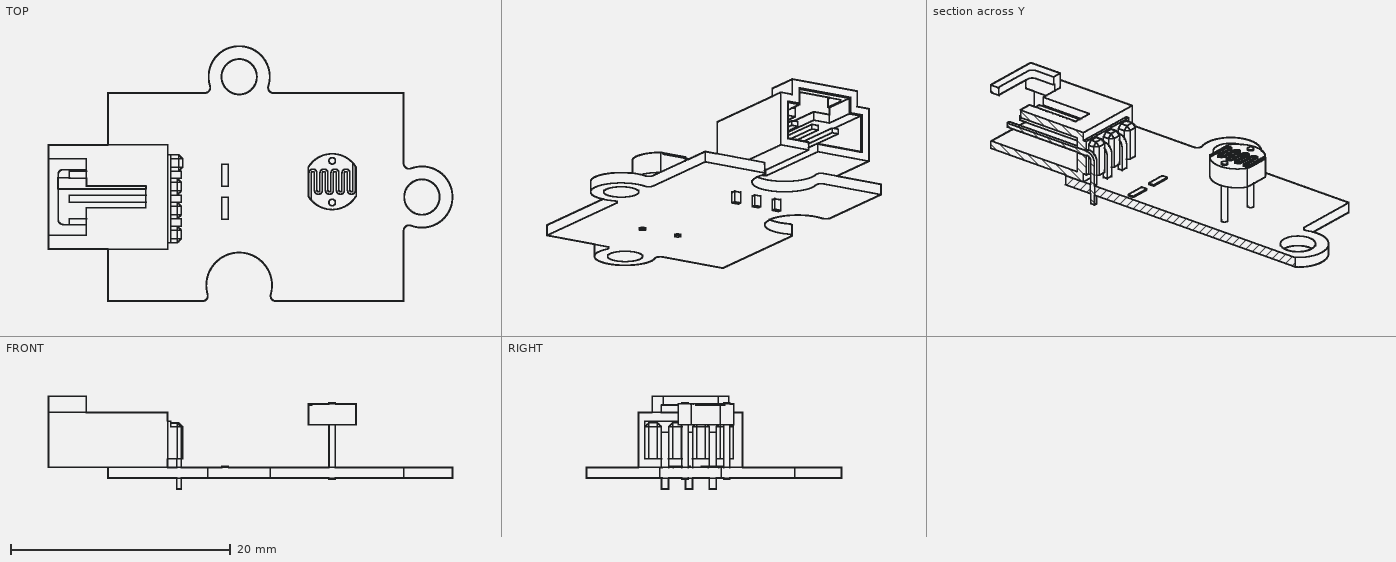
import cadquery as cq
import math


board_length = 27.0
board_width = 19.0
board_thickness = 1.0
ear_radius = 2.8
ear_hole_diameter = 3.2
right_ear_offset = 1.65
back_ear_offset = 1.48
notch_radius = 3.0
notch_offset = 1.45
root_radius = 0.48
mid_x = 12.0

pad_length = 2.0
pad_width = 0.6
pad_height = 0.1
pad_x = 10.7
pad_pitch = 3.0
pad_mid_y = 0.48

housing_front_x = -5.42
housing_length = 10.9
housing_width = 9.52
housing_height = 5.0
housing_back_x = housing_front_x + housing_length
hood_length = 3.47
hood_width = 7.0
hood_top = 6.5
cavity_width = 7.82
cavity_floor = 0.8
cavity_ceiling = 4.2
back_wall = 0.77
slot_depth = 8.9
channel_width = 5.35
channel_ceiling = 5.7
mouth_chamfer = 0.092
window_width = 5.0
window_front_wall = 0.9
window_corner_radius = 0.48
roof_slot_width = 2.0
floor_slot_width = 1.0
floor_slot_y = 1.25

pin_count = 3
pin_pitch = 2.18
pin_mid_y = -0.15
pin_width = 0.65
pin_thickness = 0.45
pin_axis_z = 3.0
pin_tip_x = -3.5
pin_leg_x = 6.5
pin_bottom = -2.0
bend_radius = 0.9

plate_thickness = 0.3
plate_top = 4.2
block_bottom = 0.77
block_top = 4.05
block_end_x = 6.7
end_block_extra = 0.1
block_chamfer = 0.37
block_width = pin_pitch - pin_width
block_row_width = pin_count * pin_pitch + block_width

sensor_x = 20.48
sensor_y = 1.4
sensor_diameter = 5.1
sensor_flat_width = 4.35
sensor_bottom = 3.87
sensor_top = 5.8
leg_diameter = 0.6
leg_spacing = 3.8
leg_protrusion = 0.1
track_width = 0.22
track_depth = 0.1
track_length = 2.3
track_lines = 9
rim_wall = 0.055
track_pitch = (sensor_flat_width - 2 * rim_wall - track_width) / (track_lines - 1)


def block(x_range, y_range, z_range):
    """Box between the given limits on each axis."""
    size = [high - low for low, high in (x_range, y_range, z_range)]
    corner = (x_range[0], y_range[0], z_range[0])
    return cq.Workplane("XY").box(*size, centered=False).translate(corner)


def centred(middle, width):
    """Limits of a span of the given width about its middle."""
    return (middle - width / 2, middle + width / 2)


def disc(x, y, radius, bottom, top):
    """Upright cylinder."""
    return cq.Workplane("XY", origin=(x, y, bottom)).circle(radius).extrude(top - bottom)


def make_board():
    half_width = board_width / 2
    levels = (-board_thickness, 0)
    ears = [(board_length + right_ear_offset, 0), (mid_x, half_width + back_ear_offset)]
    notches = [(notch_offset, 0), (mid_x, notch_offset - half_width)]

    board = block((0, board_length), (-half_width, half_width), levels)
    for x, y in ears:
        board = board.union(disc(x, y, ear_radius, *levels))
    for x, y in notches:
        board = board.cut(disc(x, y, notch_radius, *levels))

    right_reach = math.sqrt(ear_radius**2 - right_ear_offset**2)
    back_reach = math.sqrt(ear_radius**2 - back_ear_offset**2)
    notch_reach = math.sqrt(notch_radius**2 - notch_offset**2)
    for side in (-1, 1):
        roots = [
            (board_length, side * right_reach),
            (mid_x + side * back_reach, half_width),
            (0, side * notch_reach),
            (mid_x + side * notch_reach, -half_width),
        ]
        for x, y in roots:
            root_edge = cq.NearestToPointSelector((x, y, -board_thickness / 2))
            board = board.edges("|Z").edges(root_edge).fillet(root_radius)

    for x, y in ears:
        board = board.cut(disc(x, y, ear_hole_diameter / 2, *levels))
    for side in (-1, 1):
        pad_y = centred(pad_mid_y + side * pad_pitch / 2, pad_length)
        board = board.union(block(centred(pad_x, pad_width), pad_y, (0, pad_height)))
    return board


def make_pin(y):
    """Right-angle pin: straight from its tip, then bent down through the board."""
    top = pin_axis_z + pin_thickness / 2
    underside = top - pin_thickness
    leg_back = pin_leg_x + pin_thickness / 2
    leg_front = leg_back - pin_thickness
    inner_radius = bend_radius - pin_thickness
    return (
        cq.Workplane("XZ", origin=(0, y + pin_width / 2, 0))
        .moveTo(pin_tip_x, underside)
        .lineTo(pin_tip_x, top)
        .lineTo(leg_back - bend_radius, top)
        .radiusArc((leg_back, top - bend_radius), bend_radius)
        .lineTo(leg_back, pin_bottom)
        .lineTo(leg_front, pin_bottom)
        .lineTo(leg_front, underside - inner_radius)
        .radiusArc((leg_front - inner_radius, underside), -inner_radius)
        .close()
        .extrude(pin_width)
    )


def cavity_outline(margin):
    """Stepped mouth outline at the housing front, grown outward by the margin."""
    half_cavity = cavity_width / 2 + margin
    half_channel = channel_width / 2 + margin
    return (
        cq.Workplane("YZ", origin=(housing_front_x, 0, 0))
        .moveTo(-half_cavity, cavity_floor - margin)
        .lineTo(half_cavity, cavity_floor - margin)
        .lineTo(half_cavity, cavity_ceiling + margin)
        .lineTo(half_channel, cavity_ceiling + margin)
        .lineTo(half_channel, channel_ceiling + margin)
        .lineTo(-half_channel, channel_ceiling + margin)
        .lineTo(-half_channel, cavity_ceiling + margin)
        .lineTo(-half_cavity, cavity_ceiling + margin)
        .close()
    )


def make_shell():
    """Hollow housing with its hood, mouth, window and slots."""
    hood_back_x = housing_front_x + hood_length
    cavity_back_x = housing_back_x - back_wall
    slot_end_x = housing_front_x + slot_depth
    body = block((housing_front_x, housing_back_x), centred(0, housing_width), (0, housing_height))
    hood = block((housing_front_x, hood_back_x), centred(0, hood_width), (0, hood_top))
    shell = body.union(hood)

    under_hood = cavity_outline(0).extrude(hood_length)
    cavity = block(
        (housing_front_x, cavity_back_x), centred(0, cavity_width), (cavity_floor, cavity_ceiling)
    )
    mouth = cavity_outline(mouth_chamfer).extrude(mouth_chamfer, taper=45)
    shell = shell.cut(under_hood).cut(cavity).cut(mouth)

    window = block(
        (housing_front_x + window_front_wall, hood_back_x),
        centred(0, window_width),
        (channel_ceiling, hood_top),
    )
    window = window.edges("|Z and <X").fillet(window_corner_radius)
    roof_slot = block(
        (hood_back_x, slot_end_x), centred(0, roof_slot_width), (cavity_ceiling, housing_height)
    )
    floor_slot = block(
        (housing_front_x, slot_end_x), centred(floor_slot_y, floor_slot_width), (0, cavity_floor)
    )
    return shell.cut(window).cut(roof_slot).cut(floor_slot)


def make_pin_block(y, end_x):
    """Block beside a pin, chamfered on its top and outer edges."""
    plate_back_x = housing_back_x + plate_thickness
    solid = block((plate_back_x, end_x), centred(y, block_width), (block_bottom, block_top))
    return solid.edges("(>X and |Z) or (>Z and (not <X))").chamfer(block_chamfer)


def make_housing():
    plate = block(
        (housing_back_x, housing_back_x + plate_thickness),
        centred(pin_mid_y, block_row_width),
        (block_bottom, plate_top),
    )
    housing = make_shell().union(plate)
    for index in range(pin_count + 1):
        y = pin_mid_y + (index - pin_count / 2) * pin_pitch
        extra = end_block_extra if index == pin_count else 0
        housing = housing.union(make_pin_block(y, block_end_x + extra))
    return housing


def make_track():
    """Serpentine groove cutter whose outer lines run beside the two flats of the head."""
    floor = sensor_top - track_depth
    straight = track_length - track_pitch - track_width
    track = cq.Workplane("XY")
    for line in range(track_lines):
        x = sensor_x + (line - (track_lines - 1) / 2) * track_pitch
        low = sensor_y - straight / 2
        high = sensor_y + straight / 2
        if line == 0:
            low = sensor_y - sensor_diameter / 2
        if line == track_lines - 1:
            high = sensor_y + sensor_diameter / 2
        track = track.union(block(centred(x, track_width), (low, high), (floor, sensor_top)))

    for turn in range(track_lines - 1):
        x = sensor_x + (turn + 0.5 - (track_lines - 1) / 2) * track_pitch
        side = 1 if turn % 2 == 0 else -1
        y = sensor_y + side * straight / 2
        outer = (track_pitch + track_width) / 2
        ring = disc(x, y, outer, floor, sensor_top)
        ring = ring.cut(disc(x, y, outer - track_width, floor, sensor_top))
        half = block(
            centred(x, 2 * outer), centred(y + side * outer, 2 * outer), (floor, sensor_top)
        )
        track = track.union(ring.intersect(half))
    return track


def make_sensor():
    head = disc(sensor_x, sensor_y, sensor_diameter / 2, sensor_bottom, sensor_top)
    flats = block(
        centred(sensor_x, sensor_flat_width),
        centred(sensor_y, sensor_diameter),
        (sensor_bottom, sensor_top),
    )
    sensor = head.intersect(flats).cut(make_track())
    leg_bottom = -board_thickness - leg_protrusion
    for side in (-1, 1):
        leg_y = sensor_y + side * leg_spacing / 2
        leg = disc(sensor_x, leg_y, leg_diameter / 2, leg_bottom, sensor_top + leg_protrusion)
        sensor = sensor.union(leg)
    return sensor


pins = [make_pin(pin_mid_y + (i - (pin_count - 1) / 2) * pin_pitch) for i in range(pin_count)]
sensor = make_sensor()
board = make_board().cut(sensor)
housing = make_housing()

for pin in pins:
    board = board.cut(pin)
    housing = housing.cut(pin)

result = cq.Compound.makeCompound(
    [part.solids().val() for part in (board, housing, sensor, *pins)]
)